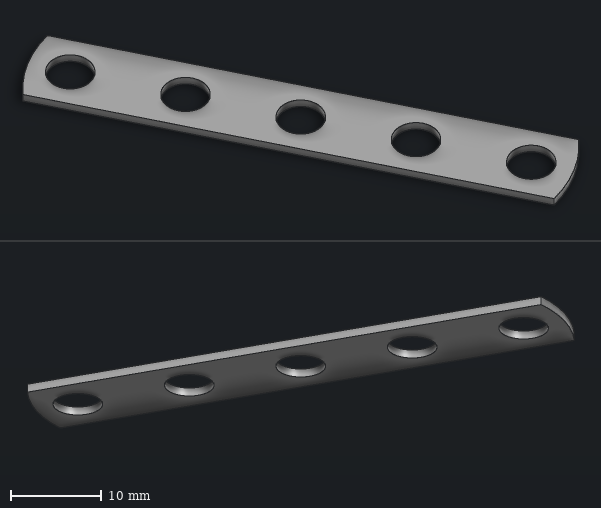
import cadquery as cq
import math

length = 63.1
width = 10.0
thickness = 1.0
end_radius = 15.0

hole_count = 5
hole_pitch = 13.3
hole_diameter = 5.5

half_length = length / 2
half_width = width / 2
end_bow = end_radius - math.sqrt(end_radius**2 - half_width**2)
corner_x = half_length - end_bow


def make_strip():
    """Strip whose two ends are shallow outward arcs."""
    return (
        cq.Workplane("XY")
        .moveTo(-corner_x, -half_width)
        .lineTo(corner_x, -half_width)
        .threePointArc((half_length, 0), (corner_x, half_width))
        .lineTo(-corner_x, half_width)
        .threePointArc((-half_length, 0), (-corner_x, -half_width))
        .close()
        .extrude(thickness)
    )


def drill_holes(strip):
    """Cut the evenly spaced holes along the centre line."""
    return (
        strip.faces(">Z")
        .workplane(origin=(0, 0, thickness))
        .rarray(hole_pitch, width, hole_count, 1)
        .hole(hole_diameter)
    )


result = drill_holes(make_strip())